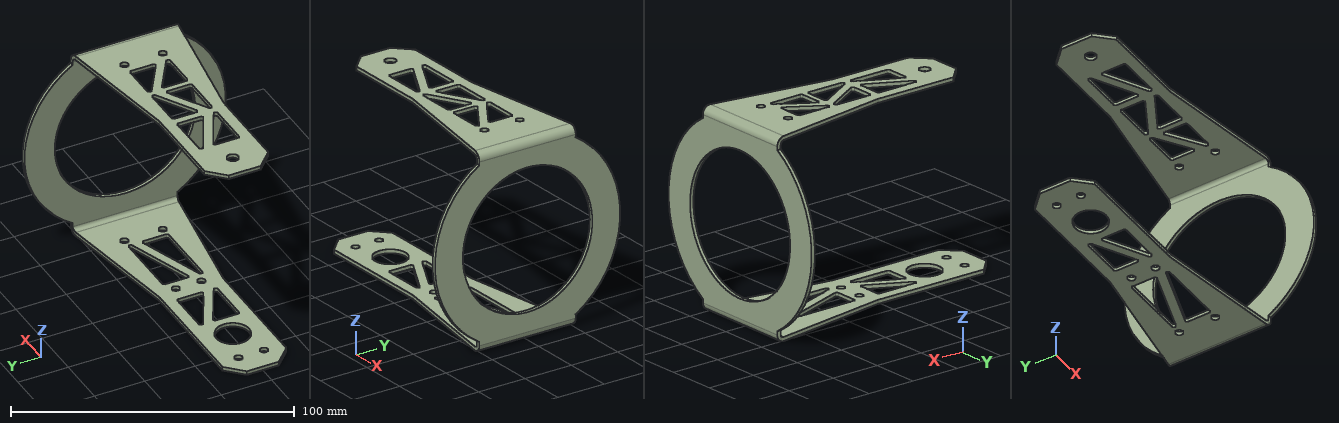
import cadquery as cq

THICKNESS = 1.5875
BEND_OUTER_RADIUS = 2 * THICKNESS
BEND_INNER_RADIUS = BEND_OUTER_RADIUS - THICKNESS
HEIGHT = 77.32
HALF_HEIGHT = HEIGHT / 2

RING_DIAMETER = 80.0
RING_BORE = 55.88

LOWER_ARM_LENGTH = 106.82
UPPER_ARM_LENGTH = 93.0
ARM_WIDTH = 25.4
ROOT_WIDTH = 41.6
TAPER_START = 52.2
TIP_CHAMFER = 6.35

SCREW_HOLE = 2.95
PIVOT_HOLE = 4.32
SERVO_HOLE = 12.95
PIVOT_DISTANCE = 83.9
ROOT_HOLES_DISTANCE = 15.65
ROOT_HOLES_SPACING = 15.24
SERVO_HOLES_DISTANCES = (97.96, 50.1)
SERVO_HOLES_SPACING = 10.16

WINDOW_HEIGHT = 15.875
WINDOW_LONG_EDGE = 10.6
WINDOW_SHORT_EDGE = 1.27
WINDOW_FILLET = 0.7
TIP_WINDOW = (73.95, 56.35, True)
UPPER_WINDOWS = (TIP_WINDOW, (53.2, 37.0, False), (34.5, 20.1, True))
LOWER_WINDOWS = (TIP_WINDOW, (46.0, 19.0, False))


def make_channel():
    """Bent strip of the full root width: ring plate web with an arm at top and bottom."""
    outer = (
        cq.Workplane("XZ")
        .rect(2 * LOWER_ARM_LENGTH, HEIGHT)
        .extrude(ROOT_WIDTH / 2, both=True)
        .edges("|Y and >X")
        .fillet(BEND_OUTER_RADIUS)
        .translate((-LOWER_ARM_LENGTH, 0, 0))
    )
    inner = (
        cq.Workplane("XZ")
        .rect(2 * LOWER_ARM_LENGTH, HEIGHT - 2 * THICKNESS)
        .extrude(ROOT_WIDTH, both=True)
        .edges("|Y and >X")
        .fillet(BEND_INNER_RADIUS)
        .translate((-LOWER_ARM_LENGTH - THICKNESS, 0, 0))
    )
    return outer.cut(inner)


def make_arm_outline(length, z_start, z_height):
    """Prism over the arm outline: chamfered tip, parallel shank, taper out to the root."""
    half_arm = ARM_WIDTH / 2
    half_root = ROOT_WIDTH / 2
    return (
        cq.Workplane("XY", origin=(0, 0, z_start))
        .moveTo(0, 0)
        .lineTo(0, half_root)
        .lineTo(-THICKNESS, half_root)
        .lineTo(-TAPER_START, half_arm)
        .lineTo(-length + TIP_CHAMFER, half_arm)
        .lineTo(-length, half_arm - TIP_CHAMFER)
        .lineTo(-length, 0)
        .mirrorX()
        .extrude(z_height)
    )


def make_window(far, near, strut_drops, z_start):
    """Two rounded wedges, point-symmetric about the window centre, that leave a strut."""
    half_height = WINDOW_HEIGHT / 2
    half_length = (far - near) / 2
    tall_side = half_length if strut_drops else -half_length
    wedge = (
        cq.Workplane("XY")
        .moveTo(-tall_side, half_height)
        .lineTo(tall_side, half_height)
        .lineTo(tall_side, half_height - WINDOW_LONG_EDGE)
        .lineTo(-tall_side, half_height - WINDOW_SHORT_EDGE)
        .close()
        .extrude(HALF_HEIGHT)
        .edges("|Z")
        .fillet(WINDOW_FILLET)
    )
    opposite = wedge.rotate((0, 0, 0), (0, 0, 1), 180)
    return wedge.union(opposite).translate((-(far + near) / 2, 0, z_start))


def make_holes(diameter, points, z_start):
    """Vertical hole cutters, long enough to pass through one arm."""
    return (
        cq.Workplane("XY", origin=(0, 0, z_start))
        .pushPoints(points)
        .circle(diameter / 2)
        .extrude(HALF_HEIGHT)
    )


def hole_pair(distance, spacing):
    """Centres of two holes placed symmetrically about the arm axis."""
    return [(-distance, spacing / 2), (-distance, -spacing / 2)]


def make_ring_disc():
    """Round plate trimmed by the channel height so that it stays clear of the bends."""
    disc = cq.Workplane("YZ").circle(RING_DIAMETER / 2).extrude(-THICKNESS)
    flat_height = HEIGHT - 2 * BEND_OUTER_RADIUS
    band = cq.Workplane("XY").box(2 * THICKNESS, RING_DIAMETER, flat_height)
    return disc.intersect(band)


UPPER_START = 0
LOWER_START = -HALF_HEIGHT

arm_outlines = make_arm_outline(UPPER_ARM_LENGTH, UPPER_START, HALF_HEIGHT).union(
    make_arm_outline(LOWER_ARM_LENGTH, LOWER_START, HALF_HEIGHT)
)
bracket = make_channel().intersect(arm_outlines).union(make_ring_disc())
bracket = bracket.cut(cq.Workplane("YZ").circle(RING_BORE / 2).extrude(-THICKNESS))

pivot_point = [(-PIVOT_DISTANCE, 0)]
root_points = hole_pair(ROOT_HOLES_DISTANCE, ROOT_HOLES_SPACING)
bracket = bracket.cut(make_holes(PIVOT_HOLE, pivot_point, UPPER_START))
bracket = bracket.cut(make_holes(SERVO_HOLE, pivot_point, LOWER_START))
for z_start in (UPPER_START, LOWER_START):
    bracket = bracket.cut(make_holes(SCREW_HOLE, root_points, z_start))
for distance in SERVO_HOLES_DISTANCES:
    servo_points = hole_pair(distance, SERVO_HOLES_SPACING)
    bracket = bracket.cut(make_holes(SCREW_HOLE, servo_points, LOWER_START))
for z_start, windows in ((UPPER_START, UPPER_WINDOWS), (LOWER_START, LOWER_WINDOWS)):
    for far, near, strut_drops in windows:
        bracket = bracket.cut(make_window(far, near, strut_drops, z_start))

result = bracket